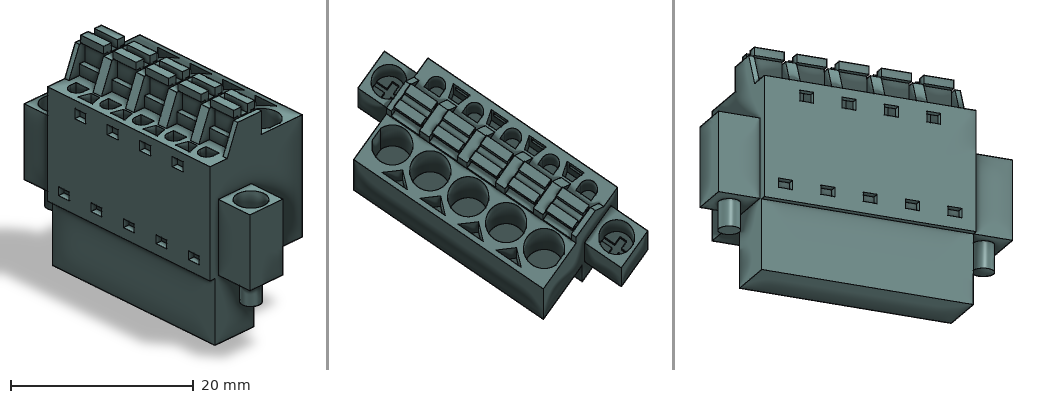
import cadquery as cq


pole_count = 5
pitch = 5.07
pole_xs = [(i - (pole_count - 1) / 2) * pitch for i in range(pole_count)]
gap_xs = [x + pitch / 2 for x in pole_xs[:-1]]

body_width = pole_count * pitch
body_depth = 14.2
skirt_front = 0.75
skirt_back = 6.75
body_bottom = 8.35
front_top = 22.67
back_top = 23.65
tower_top = 26.58
tower_foot = 2.65
tower_front = 4.25
tower_back = 7.92

latch_outline = [
    (8.1, body_bottom), (8.45, 7.35), (8.45, 5.35), (7.9, 4.8),
    (8.38, 3.87), (9.5, 5.5), (10.2, body_bottom),
]
latch_width = (pole_count - 1) * pitch

channel_width = 3.75
channel_floor = 24.15

button_width = 3.6
button_top = 27.75
head_front = 4.35
head_back = 7.57
head_bottom = 26.75
stem_front = 5.0
stem_back = 7.0
driver_slot_front = 5.53
driver_slot_back = 6.48
driver_slot_floor = 26.65

wire_hole_y = 10.42
wire_hole_diameter = 4.5
wire_hole_depth = 10.55
end_wall = 0.42

triangle_half_width = 1.7
triangle_base_y = 13.6
triangle_tip_y = 12.07
triangle_depth = 5.28

test_width = 2.05
test_back_y = 2.9
test_round_y = 2.0
test_depth = 5.28

coding_back_y = 2.35
coding_front_y = 0.77
coding_back_width = 1.3
coding_front_width = 2.25
coding_depth = 5.28
coding_window_width = 1.65
coding_window_bottom = 20.35
coding_window_top = 21.6

contact_window_width = 1.65
contact_window_bottom = 9.7
contact_window_top = 10.8
contact_window_depth = 0.85

ear_end_x = 17.6
ear_front = 1.25
ear_back = 6.35
ear_bottom = 8.6
ear_top = 18.1
screw_x = body_width / 2 + pitch / 2
screw_y = (ear_front + ear_back) / 2
recess_diameter = 3.9
recess_floor = 10.55

shank_diameter = 2.5
shank_bottom = 5.35
screw_head_diameter = 3.75
screw_head_height = 1.95
long_slot_width = 0.53
short_slot_width = 0.88
short_slot_length = 2.57
screw_slot_depth = 0.7


def box(x_min, x_max, y_min, y_max, z_min, z_max):
    """Block between the given limits."""
    return cq.Workplane("XY").box(
        x_max - x_min, y_max - y_min, z_max - z_min, centered=False
    ).translate((x_min, y_min, z_min))


def centred_box(x, width, y_min, y_max, z_min, z_max):
    """Block whose X extent is centred on x."""
    return box(x - width / 2, x + width / 2, y_min, y_max, z_min, z_max)


def extruded_along_x(outline, width):
    """Closed (Y, Z) outline extruded symmetrically about X = 0."""
    return cq.Workplane("YZ").polyline(outline).close().extrude(width / 2, both=True)


def cylinder(x, y, diameter, z_min, z_max):
    """Upright cylinder between two heights."""
    return cq.Workplane("XY", origin=(x, y, z_min)).circle(diameter / 2).extrude(z_max - z_min)


def housing_block():
    """Main block with its tower and plug skirt, the latch and the two screw ears."""
    outline = [
        (skirt_front, 0),
        (skirt_back, 0),
        (skirt_back, body_bottom),
        (body_depth, body_bottom),
        (body_depth, back_top),
        (tower_back, back_top),
        (tower_back, tower_top),
        (tower_front, tower_top),
        (tower_foot, front_top),
        (0, front_top),
        (0, body_bottom),
        (skirt_front, body_bottom),
    ]
    block = extruded_along_x(outline, body_width)
    block = block.union(extruded_along_x(latch_outline, latch_width))
    for x_min, x_max in ((-ear_end_x, -body_width / 2), (body_width / 2, ear_end_x)):
        block = block.union(box(x_min, x_max, ear_front, ear_back, ear_bottom, ear_top))
    return block


def channel_cut(x):
    """Button channel: full height in front of the step, down to the button seat behind it."""
    front = centred_box(x, channel_width, tower_foot, tower_front, front_top, tower_top)
    seat = centred_box(x, channel_width, tower_front, tower_back, channel_floor, tower_top)
    return front.union(seat)


def wire_hole_cut(x):
    """Round wire entry, flattened where it would come too close to an end of the housing."""
    floor = back_top - wire_hole_depth
    limit = body_width - 2 * end_wall
    hole = cylinder(x, wire_hole_y, wire_hole_diameter, floor, back_top)
    return hole.intersect(centred_box(0, limit, 0, body_depth, floor, back_top))


def triangle_cut(x):
    """Triangular pocket pointing toward the front."""
    return (
        cq.Workplane("XY", origin=(x, 0, back_top))
        .moveTo(-triangle_half_width, triangle_base_y)
        .lineTo(triangle_half_width, triangle_base_y)
        .lineTo(0, triangle_tip_y)
        .close()
        .extrude(-triangle_depth)
    )


def test_opening_cut(x):
    """Opening with a flat back and a round front."""
    half_width = test_width / 2
    return (
        cq.Workplane("XY", origin=(x, 0, front_top))
        .moveTo(half_width, test_round_y)
        .lineTo(half_width, test_back_y)
        .lineTo(-half_width, test_back_y)
        .lineTo(-half_width, test_round_y)
        .threePointArc((0, test_round_y - half_width), (half_width, test_round_y))
        .close()
        .extrude(-test_depth)
    )


def coding_cut(x):
    """Tapered pocket that also opens through a window in the front face."""
    pocket = (
        cq.Workplane("XY", origin=(x, 0, front_top))
        .moveTo(-coding_front_width / 2, coding_front_y)
        .lineTo(coding_front_width / 2, coding_front_y)
        .lineTo(coding_back_width / 2, coding_back_y)
        .lineTo(-coding_back_width / 2, coding_back_y)
        .close()
        .extrude(-coding_depth)
    )
    window = centred_box(
        x, coding_window_width, 0, coding_front_y, coding_window_bottom, coding_window_top
    )
    return pocket.union(window)


def contact_window_cut(x):
    """Shallow window low in the front face."""
    return centred_box(
        x, contact_window_width, 0, contact_window_depth, contact_window_bottom, contact_window_top
    )


def screw_hole_cut(x):
    """Deep counterbore and shank hole through an ear."""
    recess = cylinder(x, screw_y, recess_diameter, recess_floor, ear_top)
    return recess.union(cylinder(x, screw_y, shank_diameter, ear_bottom, recess_floor))


def make_housing():
    housing = housing_block()
    for x in pole_xs:
        housing = housing.cut(channel_cut(x))
        housing = housing.cut(wire_hole_cut(x))
        housing = housing.cut(test_opening_cut(x))
        housing = housing.cut(contact_window_cut(x))
    for x in gap_xs:
        housing = housing.cut(triangle_cut(x))
        housing = housing.cut(coding_cut(x))
    for x in (-screw_x, screw_x):
        housing = housing.cut(screw_hole_cut(x))
    return housing


def make_button(x):
    """Push button: stem standing on the channel floor, wider head split by a driver slot."""
    stem = centred_box(x, button_width, stem_front, stem_back, channel_floor, head_bottom)
    head = centred_box(x, button_width, head_front, head_back, head_bottom, button_top)
    driver_slot = centred_box(
        x, button_width, driver_slot_front, driver_slot_back, driver_slot_floor, button_top
    )
    return stem.union(head).cut(driver_slot)


def make_screw(x):
    """Flange screw: head with a crossed slot, seated on the counterbore floor."""
    head_top = recess_floor + screw_head_height
    slot_floor = head_top - screw_slot_depth
    shank = cylinder(x, screw_y, shank_diameter, shank_bottom, recess_floor)
    screw = shank.union(cylinder(x, screw_y, screw_head_diameter, recess_floor, head_top))
    slot_sizes = (
        (screw_head_diameter, long_slot_width),
        (short_slot_width, short_slot_length),
    )
    for length, width in slot_sizes:
        slot = centred_box(
            x, length, screw_y - width / 2, screw_y + width / 2, slot_floor, head_top
        )
        screw = screw.cut(slot)
    return screw


housing = make_housing()
buttons = [make_button(x) for x in pole_xs]
screws = [make_screw(x) for x in (-screw_x, screw_x)]

result = cq.Compound.makeCompound(
    [housing.val()]
    + [button.val() for button in buttons]
    + [screw.val() for screw in screws]
)